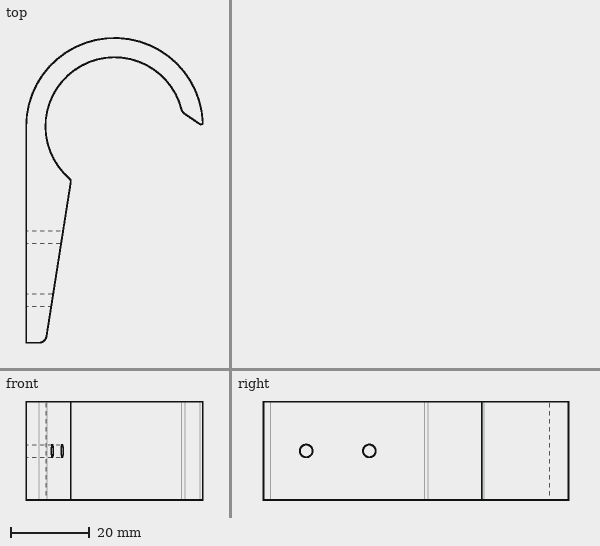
import cadquery as cq
import math

outer_radius = 22.5
wall = 4.95
width = 25.0
overall_length = 77.5

root_thickness = 11.5
end_round = 2.0
root_round = 1.0

lip_angle = 34.0
lip_tip_round = 0.5
lip_inner_round = 2.0

hole_diameter = 3.2
end_to_hole = 10.85
hole_spacing = 16.05
hole_count = 2

inner_radius = outer_radius - wall
back_x = -outer_radius
leg_end_y = outer_radius - overall_length

root_x = back_x + root_thickness
root_y = -math.sqrt(inner_radius**2 - root_x**2)

lip_slope = math.radians(lip_angle)
half_chord = math.sqrt(inner_radius**2 - (outer_radius * math.sin(lip_slope)) ** 2)
lip_length = outer_radius * math.cos(lip_slope) - half_chord
lip_x = outer_radius - lip_length * math.cos(lip_slope)
lip_y = lip_length * math.sin(lip_slope)


def make_hook():
    """Open ring and tapered leg, extruded across the full width."""
    return (
        cq.Workplane("XY")
        .moveTo(back_x, leg_end_y)
        .lineTo(back_x, 0)
        .threePointArc((0, outer_radius), (outer_radius, 0))
        .lineTo(lip_x, lip_y)
        .threePointArc((-inner_radius, 0), (root_x, root_y))
        .lineTo(back_x + wall, leg_end_y)
        .close()
        .extrude(width)
    )


def round_edge(body, x, y, radius):
    """Round the upright edge nearest to the profile point (x, y)."""
    edge = cq.selectors.NearestToPointSelector((x, y, width / 2))
    return body.edges("|Z").edges(edge).fillet(radius)


def make_screw_holes():
    """Cylinders along X, centred across the width of the leg."""
    first_hole_y = leg_end_y + end_to_hole
    centres = [(first_hole_y + i * hole_spacing, width / 2) for i in range(hole_count)]
    return (
        cq.Workplane("YZ", origin=(back_x, 0, 0))
        .pushPoints(centres)
        .circle(hole_diameter / 2)
        .extrude(root_thickness)
    )


hook = make_hook()
hook = round_edge(hook, outer_radius, 0, lip_tip_round)
hook = round_edge(hook, lip_x, lip_y, lip_inner_round)
hook = round_edge(hook, root_x, root_y, root_round)
hook = round_edge(hook, back_x + wall, leg_end_y, end_round)

result = hook.cut(make_screw_holes())